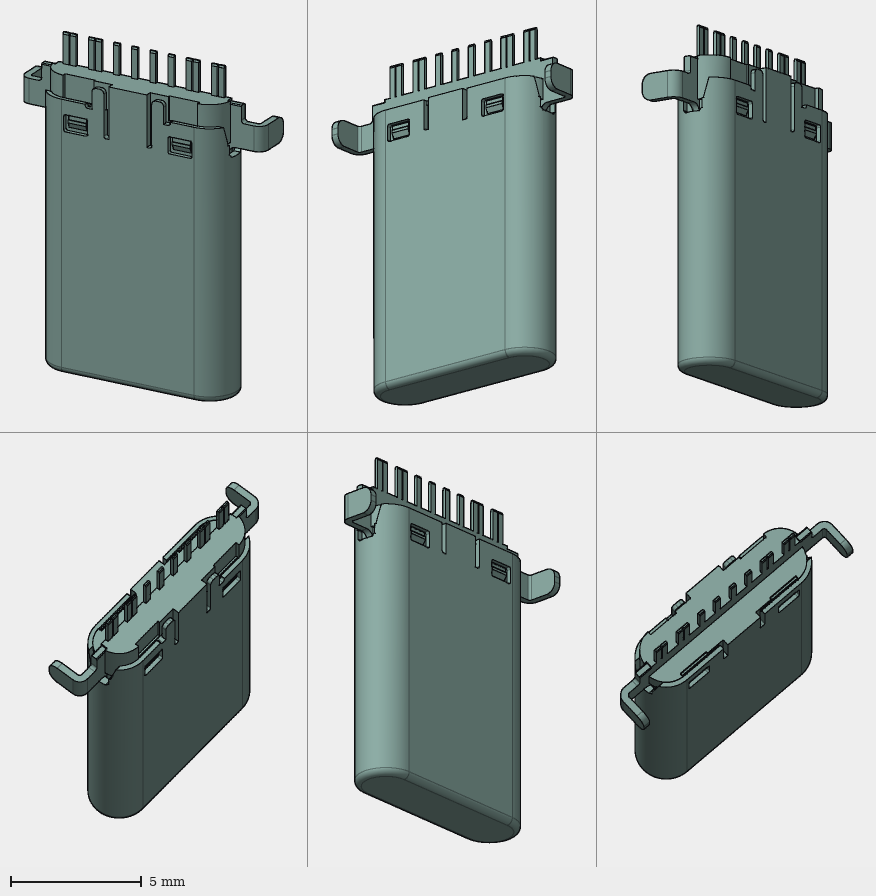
import cadquery as cq


total_height = 13.5
tail_span = 10.7
shell_width = 8.25
shell_thickness = 2.4
wall = 0.19
mouth_fillet = 0.25
front_y = -shell_thickness / 2

shell_top = 11.29
insert_top = 12.2
insert_back_top = 11.33
insert_bottom = 8.1
side_slot_floor = 9.98
side_slot_step = 10.49

side_slot_half = 0.43
flare_start_half = 0.49
flare_end_half = 0.68
side_slot_corner = 0.12
side_recess_x = 3.81

boss_half_width = 0.84
relief_end_x = 1.63
pocket_end_x = 2.95
pocket_depth = 0.35
pocket_floor = 11.2
relief_depth = 0.27
slot_width = 0.22
slot_bottom = 10.05
slot_corner = 0.1
tab_outer_x = 1.58
tab_top = 12.03
tab_corner = 0.18
notch_outer_x = 1.88
notch_bottom = 11.14
notch_corner = 0.12

window_center_x = 2.3
window_width = 1.05
window_bottom = 9.98
window_top = 10.68
window_corner = 0.08
latch_width = 0.78
latch_bottom = 10.11
latch_low_edge = 10.33
latch_high_edge = 10.45
latch_top = 10.62
latch_face_depth = 0.1
latch_step_depth = 0.14

tail_thickness = 0.3
tail_bottom = 10.33
tail_arm_top = 11.38
tail_top = 12.11
tail_neck_x = 4.4
tail_neck_fillet = 0.14
tail_root_x = 3.71
tail_end_y = 1.45
tail_bend_radius = 0.4
tail_end_radius = 0.4
tail_top_chamfer = 0.04

pin_width = 0.25
pin_thickness = 0.14
pin_tip_height = 0.08
pin_tip_thickness = 0.07
pin_bottom = 10.8
single_pin_centers = (0.4, 1.2)
pair_centers = (2.15, 3.27)
pair_pitch = 0.31
pin_back_y = tail_thickness / 2


def box(x_range, y_range, z_range):
    """Axis-aligned block spanning the given (low, high) ranges."""
    size = [high - low for low, high in (x_range, y_range, z_range)]
    return cq.Workplane("XY").box(*size, centered=False).translate((x_range[0], y_range[0], z_range[0]))


def stadium(width, thickness, bottom, top):
    """Upright bar with fully rounded ends."""
    return cq.Workplane("XY").workplane(offset=bottom).slot2D(width, thickness).extrude(top - bottom)


def front_block(x_range, z_range, depth, start_depth=0.0):
    """Block reaching into the part from the front face."""
    return box(x_range, (front_y + start_depth, front_y + depth), z_range)


def both_sides(body):
    """The body together with its mirror image across X = 0."""
    return body.union(body.mirror("YZ"))


def front_and_back(body):
    """The body together with its mirror image across Y = 0."""
    return body.union(body.mirror("XZ"))


def make_shell():
    shell = stadium(shell_width, shell_thickness, 0, shell_top).faces("<Z").edges().fillet(mouth_fillet)
    half_outline = [
        (side_slot_half - side_slot_corner, side_slot_floor),
        (side_slot_half, side_slot_floor + side_slot_corner),
        (side_slot_half, side_slot_step),
        (flare_start_half, side_slot_step),
        (flare_end_half, shell_top),
    ]
    outline = half_outline + [(-y, z) for y, z in reversed(half_outline)]
    side_opening = cq.Workplane("YZ").polyline(outline).close().extrude(shell_width / 2, both=True)
    cavity = stadium(shell_width - 2 * wall, shell_thickness - 2 * wall, insert_bottom, shell_top)
    return shell.cut(side_opening).cut(cavity)


def make_insert():
    width = shell_width - 2 * wall
    thickness = shell_thickness - 2 * wall
    back_y = tail_thickness / 2
    insert = stadium(width, thickness, insert_bottom, insert_top)
    insert = insert.cut(box((-width, width), (back_y, thickness), (insert_back_top, total_height)))
    boss_x_range = (-boss_half_width, boss_half_width)
    front_boss = front_block(boss_x_range, (shell_top, insert_top), -front_y)
    back_boss = box(boss_x_range, (0, -front_y), (shell_top, insert_back_top))
    return insert.union(front_boss).union(back_boss)


def make_side_recess():
    """Clearance at the insert's end, below its step and around the tail."""
    x_range = (side_recess_x, shell_width / 2)
    lower = box(x_range, (-side_slot_half, side_slot_half), (side_slot_floor, side_slot_step))
    lower = lower.edges("|X and <Z").chamfer(side_slot_corner)
    tail_slot = box(x_range, (-tail_thickness / 2, tail_thickness / 2), (side_slot_floor, insert_top))
    return both_sides(lower.union(tail_slot))


def make_pocket():
    """Stepped gap between the upper edge of the shell wall and the insert."""
    outer_step = front_block((boss_half_width, pocket_end_x), (notch_bottom, insert_top), relief_depth, wall)
    inner_step = front_block((relief_end_x, pocket_end_x), (pocket_floor, insert_top), pocket_depth, wall)
    return both_sides(outer_step.union(inner_step))


def make_window():
    """Opening through the shell wall that frames a latch."""
    left_x = window_center_x - window_width / 2
    window = front_block((left_x, left_x + window_width), (window_bottom, window_top), wall)
    return both_sides(window.edges("|Y").fillet(window_corner))


def make_latch():
    """Catch on the insert: a stepped front with a sloped lower face."""
    profile = [
        (front_y + wall, latch_bottom),
        (front_y + latch_face_depth, latch_low_edge),
        (front_y + latch_face_depth, latch_high_edge),
        (front_y + latch_step_depth, latch_high_edge),
        (front_y + latch_step_depth, latch_top),
        (front_y + wall, latch_top),
    ]
    latch = cq.Workplane("YZ").polyline(profile).close().extrude(latch_width)
    return both_sides(latch.translate((window_center_x - latch_width / 2, 0, 0)))


def make_slot():
    """Narrow vertical slot beside the centre boss."""
    x_range = (boss_half_width, boss_half_width + slot_width)
    slot = front_block(x_range, (slot_bottom, insert_top), relief_depth)
    return both_sides(slot.edges("|Y and <Z and >X").fillet(slot_corner))


def make_tab_relief():
    """Space around the tab, with the notch at the foot of the tab."""
    relief = front_block((boss_half_width, relief_end_x), (notch_bottom, insert_top), relief_depth)
    notch = front_block((tab_outer_x, notch_outer_x), (notch_bottom, insert_top), wall)
    return both_sides(relief.union(notch.edges("|Y and <Z and >X").fillet(notch_corner)))


def make_tab():
    """Round-topped tab of the shell wall."""
    tab = front_block((boss_half_width + slot_width, tab_outer_x), (notch_bottom, tab_top), wall)
    return both_sides(tab.edges("|Y and >Z").fillet(tab_corner))


def make_tail_gusset():
    """Concave quarter round under the tail, where it enters the insert."""
    radius = tail_bottom - side_slot_floor
    end_x = side_recess_x + radius
    width_range = (-tail_thickness / 2, tail_thickness / 2)
    block = box((side_recess_x, end_x), width_range, (side_slot_floor, tail_bottom))
    hollow = cq.Workplane("XZ").center(end_x, side_slot_floor).circle(radius)
    hollow = hollow.extrude(tail_thickness, both=True)
    return block.cut(hollow)


def make_tails():
    outer_x = tail_span / 2
    inner_x = outer_x - tail_thickness
    half = tail_thickness / 2
    arm_z_range = (tail_bottom, tail_arm_top)
    arm_middle_z = (tail_bottom + tail_arm_top) / 2
    neck_corner = cq.NearestToPointSelector((tail_neck_x, 0, tail_arm_top))
    outer_bend = cq.NearestToPointSelector((outer_x, -half, arm_middle_z))
    inner_bend = cq.NearestToPointSelector((inner_x, half, arm_middle_z))

    arm = box((tail_root_x, outer_x), (-half, half), arm_z_range)
    neck = box((tail_root_x, tail_neck_x), (-half, half), (tail_bottom, tail_top))
    plate = arm.union(neck).edges(neck_corner).fillet(tail_neck_fillet)
    plate = plate.faces(">Z").edges("|X").chamfer(tail_top_chamfer)

    leg = box((inner_x, outer_x), (-half, tail_end_y), arm_z_range)
    leg = leg.edges("|X and >Y").fillet(tail_end_radius)
    tail = plate.union(leg)
    tail = tail.edges(outer_bend).fillet(tail_bend_radius)
    tail = tail.edges(inner_bend).fillet(tail_bend_radius - tail_thickness)
    return both_sides(tail.union(make_tail_gusset()))


def make_pin(center_x):
    """Flat contact pin with a tip tapered through its thickness."""
    front = pin_back_y - pin_thickness
    taper = (pin_thickness - pin_tip_thickness) / 2
    shoulder = total_height - pin_tip_height
    profile = [
        (front, pin_bottom),
        (pin_back_y, pin_bottom),
        (pin_back_y, shoulder),
        (pin_back_y - taper, total_height),
        (front + taper, total_height),
        (front, shoulder),
    ]
    pin = cq.Workplane("YZ").polyline(profile).close().extrude(pin_width)
    return pin.translate((center_x - pin_width / 2, 0, 0))


def make_pins():
    centers = list(single_pin_centers)
    for pair_center in pair_centers:
        centers += [pair_center - pair_pitch / 2, pair_center + pair_pitch / 2]
    pins = make_pin(centers[0])
    for center_x in centers[1:]:
        pins = pins.union(make_pin(center_x))
    return both_sides(pins)


result = make_shell().union(make_insert())
result = result.cut(make_side_recess())
result = result.cut(front_and_back(make_pocket()))
result = result.cut(front_and_back(make_window()))
result = result.union(front_and_back(make_latch()))
result = result.cut(front_and_back(make_slot()))
result = result.cut(make_tab_relief())
result = result.union(make_tab())
result = result.union(make_tails())
result = result.union(make_pins())